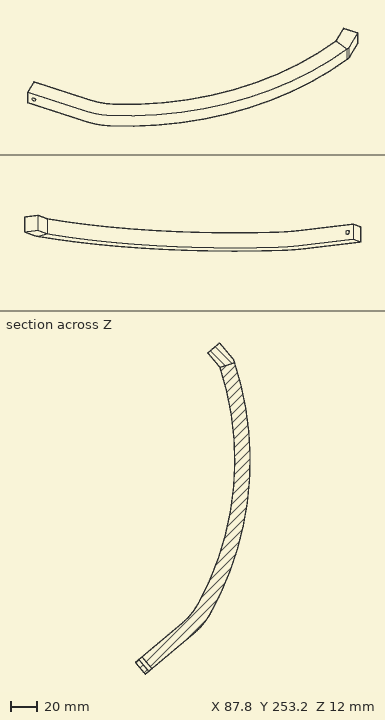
import cadquery as cq
import math

overall_length = 253.2
bar_width = 12.0
bar_height = 12.0
outer_radius = 240.0
inner_radius = outer_radius - bar_width

seam_angle = 18.2
leg_angle = 40.0
leg_offset = 216.0
leg_end = 17.5
bend_radius = 52.0

hole_diameter = 3.0
hole_end_distance = 5.0

tip_angle = leg_angle + 90.0


def polar(radius, angle):
    """Point at a radius and an angle in degrees about the arc axis."""
    return cq.Vector(radius * math.cos(math.radians(angle)), radius * math.sin(math.radians(angle)))


def flat(point):
    """X and Y of a point."""
    return point.x, point.y


joint_inner = polar(inner_radius, seam_angle)
joint_outer = polar(outer_radius, seam_angle)
along_leg = polar(1, leg_angle)
across_leg = polar(1, leg_angle - 90.0)
across_block = polar(1, tip_angle - 90.0)

inner_corner = across_leg * leg_offset + along_leg * leg_end
outer_corner = inner_corner + across_leg * bar_width

tip_rise = outer_corner.y + overall_length - joint_inner.y - across_block.y * bar_width
tip_length = tip_rise / math.sin(math.radians(tip_angle))


def bend_points(arc_radius, line_offset):
    """Start, middle and end of the blend tangent to a leg face and an arc face."""
    center_radius = arc_radius - bend_radius
    turn = math.degrees(math.acos((line_offset - bend_radius) / center_radius))
    center = polar(center_radius, leg_angle - 90.0 + turn)
    return [center + polar(bend_radius, leg_angle - 90.0 + turn * share) for share in (0, 0.5, 1)]


def make_curved_bar():
    """Straight leg, blended bend and large arc, ending at the radial joint."""
    inner_start, inner_mid, inner_end = bend_points(inner_radius, leg_offset)
    outer_start, outer_mid, outer_end = bend_points(outer_radius, leg_offset + bar_width)
    outline = (
        cq.Workplane("XY")
        .moveTo(*flat(outer_corner))
        .lineTo(*flat(outer_start))
        .threePointArc(flat(outer_mid), flat(outer_end))
        .threePointArc((outer_radius, 0), flat(joint_outer))
        .lineTo(*flat(joint_inner))
        .threePointArc((inner_radius, 0), flat(inner_end))
        .threePointArc(flat(inner_mid), flat(inner_start))
        .lineTo(*flat(inner_corner))
        .close()
    )
    bar = outline.extrude(bar_height)
    return bar.cut(make_leg_hole())


def make_leg_hole():
    """Cylinder across the leg at mid height, near its free end."""
    center = inner_corner + along_leg * hole_end_distance + cq.Vector(0, 0, bar_height / 2)
    face_plane = cq.Plane(origin=center, xDir=along_leg, normal=across_leg)
    return cq.Workplane(face_plane).circle(hole_diameter / 2).extrude(bar_width)


def make_end_block():
    """Angled end block, starting at the joint and trimmed to the outer arc."""
    tip_inner = joint_inner + polar(tip_length, tip_angle)
    tip_outer = tip_inner + across_block * bar_width

    face_offset = tip_outer.dot(across_block)
    face_turn = math.degrees(math.acos(face_offset / outer_radius))
    arc_end_angle = tip_angle - 90.0 - face_turn
    arc_end = polar(outer_radius, arc_end_angle)
    arc_mid = polar(outer_radius, (seam_angle + arc_end_angle) / 2)
    return (
        cq.Workplane("XY")
        .moveTo(*flat(joint_inner))
        .lineTo(*flat(joint_outer))
        .threePointArc(flat(arc_mid), flat(arc_end))
        .lineTo(*flat(tip_outer))
        .lineTo(*flat(tip_inner))
        .close()
        .extrude(bar_height)
    )


curved_bar = make_curved_bar()
end_block = make_end_block()
result = cq.Compound.makeCompound([curved_bar.val(), end_block.val()])